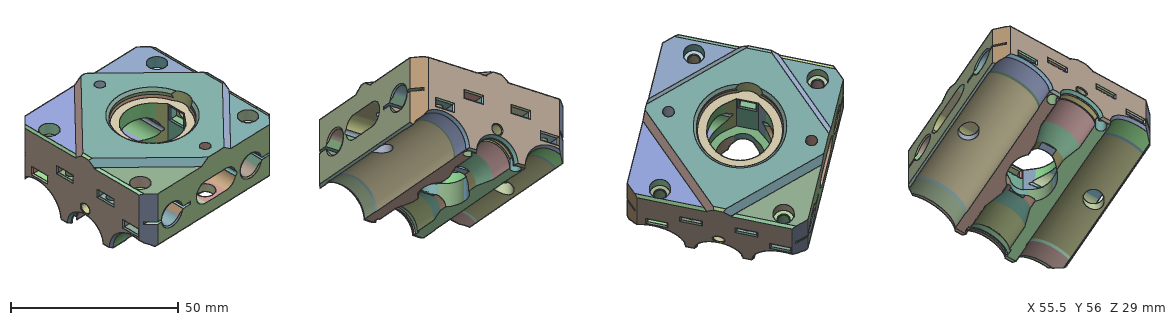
import cadquery as cq
import math

size_x, size_y, size_z = 55.5, 56.0, 29.0
corner_cut = 4.0
rim_depth = 1.05
rim_rise = 0.4
step_height = 2.0
land_z = size_z - step_height
diamond_reach = 29.9

axis_x, axis_y = 1.25, 1.0

bore_radius, bore_floor = 9.95, 7.85
bore_flat = 10.15
bore_flat_width = 6.7
pilot_radius, pilot_depth = 13.05, 2.0
pilot_bevel = 0.95
shelf_radius, shelf_depth = 12.7, 2.95
notch_radius = 5.3
notch_centre = 9.45
notch_lean = 1.3
outlet_radius, outlet_stretch = 7.5, 0.9
outlet_notch_radius, outlet_notch_centre = 4.4, 3.75
window_width, window_height, window_depth = 6.0, 5.3, 2.8
window_top = 25.5
window_hole = 3.3

channel_offset, channel_radius = 20.0, 9.3
channel_bevel = 0.6
relief_margin = 7.55
relief_taper, relief_radius = 0.9, 9.45
edge_bevel_x, edge_bevel_z = 0.7, 0.8
left_edge_foot, right_edge_foot = 4.3, 7.05
mouth_radius, neck_entry_radius, neck_radius = 7.5, 6.85, 4.9
neck_straight_depth, neck_depth, passage_roof = 12.3, 18.5, 4.25
tie_groove_radius = 7.45
tie_groove_depth, tie_groove_width = 1.55, 1.9

rod_radius, rod_bevel = 4.1, 0.45
rod_reach = 4.8
rod_z = 16.0
rod_places = (15.9, -17.9)
slit_height = 0.9
slit_places = ((15.9, 22.9), (-17.9, -9.9))
side_slit_depth = 3.1
back_slit_depth = 4.0
cross_slot_z, cross_slot_radius = 16.6, 4.15
cross_slot_length, cross_slot_inset = 17.85, 0.5
wire_groove_radius = 1.0

screw_spread = 19.0
screw_rows = (22.45, -23.8)
head_diameter, head_depth = 6.4, 4.05
screw_diameter, screw_mouth = 3.5, 4.0
mouth_depth = 0.3
nut_bevel = 0.45
low_nut_depth, high_nut_depth = 7.55, 5.6
clamp_y = -25.2
low_nut_width, low_nut_height, low_nut_z = 6.85, 3.15, 12.2
high_nut_width, high_nut_height, high_nut_z = 7.0, 3.0, 18.05
high_nut_spread = 8.5
pin_spread = 21.95
front_screw_z, front_screw_depth = 9.6, 11.2


def rod_y(radius, x, z, y_start, y_end):
    """Cylinder along Y between two Y places."""
    axis = cq.Vector(0, 1, 0)
    return cq.Workplane(cq.Solid.makeCylinder(radius, y_end - y_start, cq.Vector(x, y_start, z), axis))


def cone_y(start_radius, end_radius, x, z, y_start, y_end):
    """Cone along Y, in either direction, between two Y places."""
    axis = cq.Vector(0, math.copysign(1, y_end - y_start), 0)
    start = cq.Vector(x, y_start, z)
    return cq.Workplane(cq.Solid.makeCone(start_radius, end_radius, abs(y_end - y_start), start, axis))


def cylinder_z(radius, x, y, z_start, z_end):
    return cq.Workplane(cq.Solid.makeCylinder(radius, z_end - z_start, cq.Vector(x, y, z_start)))


def cone_z(start_radius, end_radius, x, y, z_start, z_end):
    start = cq.Vector(x, y, z_start)
    return cq.Workplane(cq.Solid.makeCone(start_radius, end_radius, z_end - z_start, start))


def box_between(x_range, y_range, z_range):
    spans = [(low, high - low) for low, high in (x_range, y_range, z_range)]
    corner = cq.Vector(*[low for low, _ in spans])
    return cq.Workplane(cq.Solid.makeBox(*[length for _, length in spans], corner))


def teardrop(plane, radius, reach, roof_width):
    """Circle with two tangents that rise to a flat roof along the local Y of the plane."""
    half_roof = roof_width / 2
    angle = math.atan2(half_roof, reach) + math.acos(radius / math.hypot(half_roof, reach))
    touch_x, touch_y = radius * math.sin(angle), radius * math.cos(angle)
    return (
        plane.moveTo(-half_roof, reach)
        .lineTo(half_roof, reach)
        .lineTo(touch_x, touch_y)
        .threePointArc((0, -radius), (-touch_x, touch_y))
        .close()
    )


def face_plane(x, y, z):
    """Work plane across the X axis whose local Y points along the block's +Y."""
    return cq.Workplane("YZ", origin=(x, y, z)).transformed(rotate=(0, 0, -90))


def bevelled_slab(height):
    """Block with bevelled edges along the front and back, and cut vertical corners."""
    half_y = size_y / 2
    slab = (
        cq.Workplane("YZ")
        .moveTo(-half_y + rim_depth, 0)
        .lineTo(half_y - rim_depth, 0)
        .lineTo(half_y, rim_rise)
        .lineTo(half_y, height - rim_rise)
        .lineTo(half_y - rim_depth, height)
        .lineTo(-half_y + rim_depth, height)
        .lineTo(-half_y, height - rim_rise)
        .lineTo(-half_y, rim_rise)
        .close()
        .extrude(size_x / 2, both=True)
    )
    plan = cq.Workplane("XY").rect(size_x, size_y).extrude(height).edges("|Z").chamfer(corner_cut)
    return slab.intersect(plan)


def block():
    """Corner lands with the raised square, which has 45 degree flanks."""
    foot_side = math.sqrt(2) * (diamond_reach + math.sqrt(2) * step_height)
    top_side = math.sqrt(2) * diamond_reach
    place = cq.Workplane("XY").center(axis_x, axis_y).transformed(rotate=(0, 0, 45))
    column = place.rect(foot_side, foot_side).extrude(land_z)
    flanks = (
        place.workplane(offset=land_z)
        .rect(foot_side, foot_side)
        .workplane(offset=step_height)
        .rect(top_side, top_side)
        .loft(ruled=True)
    )
    raised = bevelled_slab(size_z).intersect(column.union(flanks))
    return bevelled_slab(land_z).union(raised)


def bore():
    """Stepped vertical bore with a cable notch, side window and bottom outlet."""
    top = size_z
    well = teardrop(cq.Workplane("XY"), bore_radius, bore_flat, bore_flat_width).extrude(top - bore_floor)
    cut = well.translate((axis_x, axis_y, bore_floor))
    taper_top = top - pilot_depth
    cut = cut.union(cone_z(shelf_radius, pilot_radius, axis_x, axis_y, top - shelf_depth, taper_top))
    cut = cut.union(cylinder_z(pilot_radius, axis_x, axis_y, taper_top, top))
    rim = pilot_radius + pilot_bevel
    cut = cut.union(cone_z(pilot_radius, rim, axis_x, axis_y, top - pilot_bevel, top))
    notch = (
        cq.Workplane("XY", origin=(axis_x, axis_y + notch_centre, top))
        .circle(notch_radius)
        .workplane(offset=-shelf_depth)
        .center(0, -notch_lean)
        .circle(notch_radius)
        .loft(ruled=True)
    )
    cut = cut.union(notch)

    for shift in (0, -outlet_stretch):
        cut = cut.union(cylinder_z(outlet_radius, axis_x, axis_y + shift, 0, bore_floor))
    outlet_notch_y = axis_y + outlet_notch_centre
    cut = cut.union(cylinder_z(outlet_notch_radius, axis_x, outlet_notch_y, 0, bore_floor))

    window_z = window_top - window_height / 2
    wall_y = axis_y + bore_flat
    window = nut_slot(axis_x, window_z, window_width, window_height, wall_y, window_depth)
    cut = cut.union(window)
    return cut.union(rod_y(window_hole / 2, axis_x, window_z, wall_y, size_y / 2))


def bearing_channel(x):
    """Round channel with bevelled mouths and a slightly wider middle stretch."""
    half_y = size_y / 2
    cut = rod_y(channel_radius, x, 0, -half_y, half_y)
    relief_end = half_y - relief_margin
    cut = cut.union(rod_y(relief_radius, x, 0, -relief_end, relief_end))
    for side in (-1, 1):
        mouth = half_y * side
        inner = (half_y - rim_depth) * side
        cut = cut.union(cone_y(channel_radius + channel_bevel, channel_radius, x, 0, mouth, inner))
        taper_start = relief_end * side
        taper_end = (relief_end + relief_taper) * side
        cut = cut.union(cone_y(relief_radius, channel_radius, x, 0, taper_start, taper_end))
    return cut


def outer_edge_bevel(side, foot):
    """Bevel on the lower edge of a side face, where an outer channel meets it."""
    face = side * size_x / 2
    inner = face - side * edge_bevel_x
    return (
        cq.Workplane("XZ")
        .moveTo(face, 0)
        .lineTo(face, foot + edge_bevel_z)
        .lineTo(inner, foot)
        .lineTo(inner, 0)
        .close()
        .extrude(size_y / 2, both=True)
    )


def throat():
    """Middle channel: tapered necks with tie grooves, and a flat-roofed passage between them."""
    half_y = size_y / 2
    neck_end = half_y - neck_depth
    groove_start = half_y - tie_groove_depth
    groove_end = groove_start - tie_groove_width
    below_roof = box_between(
        (axis_x - neck_radius, axis_x + neck_radius), (-neck_end, neck_end), (0, passage_roof)
    )
    cut = rod_y(neck_radius, axis_x, 0, -neck_end, neck_end).intersect(below_roof)
    for side in (-1, 1):
        depths = (0, rim_depth, neck_straight_depth, neck_depth)
        face, entry, taper, end = (side * (half_y - depth) for depth in depths)
        cut = cut.union(cone_y(mouth_radius, neck_entry_radius, axis_x, 0, face, entry))
        straight_low, straight_high = sorted((entry, taper))
        cut = cut.union(rod_y(neck_entry_radius, axis_x, 0, straight_low, straight_high))
        cut = cut.union(cone_y(neck_entry_radius, neck_radius, axis_x, 0, taper, end))
        groove_low, groove_high = sorted((side * groove_start, side * groove_end))
        cut = cut.union(rod_y(tie_groove_radius, axis_x, 0, groove_low, groove_high))
    return cut


def rod_clamps():
    """Two rod holes along X with bevelled mouths and their clamping slits."""
    half_x = size_x / 2
    slit_z = (rod_z - slit_height / 2, rod_z + slit_height / 2)
    cut = cq.Workplane("XY")
    for y in rod_places:
        hole = teardrop(face_plane(0, y, rod_z), rod_radius, rod_reach, slit_height)
        cut = cut.add(hole.extrude(half_x, both=True))
        for side in (-1, 1):
            start = cq.Vector(half_x * side, y, rod_z)
            mouth = cq.Solid.makeCone(
                rod_radius + rod_bevel, rod_radius, rod_bevel, start, cq.Vector(-side, 0, 0)
            )
            cut = cut.add(cq.Workplane(mouth))
    for y_range in slit_places:
        cut = cut.add(box_between((-half_x, half_x), y_range, slit_z))
    front_range = (-size_y / 2, rod_places[1])
    back_range = (rod_places[0], size_y / 2)
    for y_range, depth in ((front_range, side_slit_depth), (back_range, back_slit_depth)):
        cut = cut.add(box_between((-half_x, -half_x + depth), y_range, slit_z))
        cut = cut.add(box_between((half_x - depth, half_x), y_range, slit_z))
    return cut.combine()


def cross_slot():
    """Rounded slot through the block along X, with a wire groove; it is shorter on the +X side."""
    half_x = size_x / 2
    tip_y = axis_y + cross_slot_length / 2 - cross_slot_inset
    cut = cq.Workplane("XY")
    for side, inset in ((-1, 0), (1, cross_slot_inset)):
        profile = cq.Workplane("YZ", origin=(0, axis_y, cross_slot_z))
        profile = profile.slot2D(cross_slot_length - 2 * inset, 2 * cross_slot_radius)
        cut = cut.add(profile.extrude(side * half_x))
        groove = cq.Workplane("YZ", origin=(0, tip_y - inset, cross_slot_z)).circle(wire_groove_radius)
        cut = cut.add(groove.extrude(side * half_x))
    return cut.combine()


def nut_slot(x, z, width, height, face_y, depth):
    """Blind slot for a square nut, open towards -Y through a bevelled mouth."""
    inner_width, inner_height = width - 2 * nut_bevel, height - 2 * nut_bevel
    pocket = box_between(
        (x - inner_width / 2, x + inner_width / 2),
        (face_y, face_y + depth),
        (z - inner_height / 2, z + inner_height / 2),
    )
    mouth = (
        cq.Workplane("XZ", origin=(x, face_y, z))
        .rect(width, height)
        .workplane(offset=-nut_bevel)
        .rect(inner_width, inner_height)
        .loft(ruled=True)
    )
    return pocket.union(mouth)


def screws():
    """Corner screws with nut slots, clamp screws, pin holes with heads below, and the front screw."""
    cut = cq.Workplane("XY")
    head_floor = land_z - head_depth
    radius = screw_diameter / 2
    wide_radius = screw_mouth / 2
    front = -size_y / 2
    for side in (-1, 1):
        x = axis_x + side * screw_spread
        for y in screw_rows:
            cut = cut.add(cylinder_z(head_diameter / 2, x, y, head_floor, land_z))
            cut = cut.add(cylinder_z(radius, x, y, low_nut_z, head_floor))
            cut = cut.add(cone_z(radius, wide_radius, x, y, head_floor - mouth_depth, head_floor))
        low_nut = nut_slot(x, low_nut_z, low_nut_width, low_nut_height, front, low_nut_depth)
        cut = cut.add(low_nut)

        clamp_x = axis_x + side * high_nut_spread
        high_nut = nut_slot(clamp_x, high_nut_z, high_nut_width, high_nut_height, front, high_nut_depth)
        cut = cut.add(high_nut)
        cut = cut.add(cylinder_z(radius, clamp_x, clamp_y, 0, high_nut_z))

        pin_x = axis_x + side * pin_spread
        cut = cut.add(cylinder_z(radius, pin_x, axis_y, 0, size_z))
        cut = cut.add(cylinder_z(head_diameter / 2, pin_x, axis_y, 0, cross_slot_z))

    cut = cut.add(rod_y(radius, axis_x, front_screw_z, front, front + front_screw_depth))
    cut = cut.add(cone_y(wide_radius, radius, axis_x, front_screw_z, front, front + mouth_depth))
    return cut.combine()


result = block()
for channel_side in (-1, 1):
    result = result.cut(bearing_channel(axis_x + channel_side * channel_offset))
result = result.cut(outer_edge_bevel(-1, left_edge_foot)).cut(outer_edge_bevel(1, right_edge_foot))
result = result.cut(throat()).cut(bore())
result = result.cut(rod_clamps()).cut(cross_slot()).cut(screws())